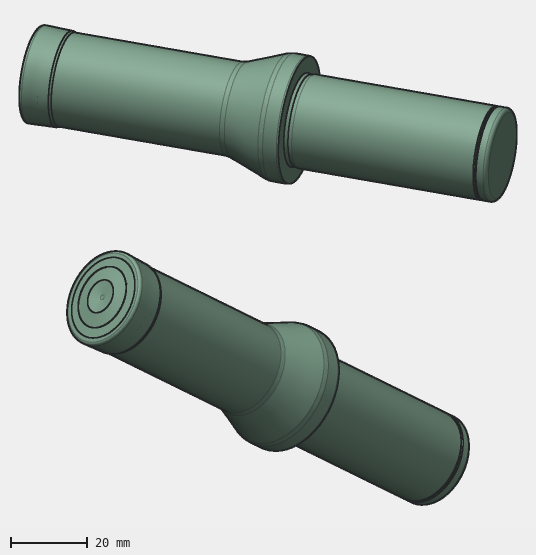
import cadquery as cq

overall_length = 130.0
body_diameter = 25.0
body_radius = body_diameter / 2

head_rim = 0.93
head_diameter = 26.2
head_back_diameter = 25.6
head_back = 9.8
head_back_chamfer_length = 0.7
head_face_rise = 0.19
head_corner_radius = 0.8

tip_radius = 8.45
tip_depth = 0.65
crest_radius = 4.55
dimple_floor_radius = 0.65
dimple_depth = tip_depth
seat_front = 1.1
seat_front_radius = 11.15
seat_taper_end = 6.0

collar_radius = 34.0 / 2
collar_back = 74.0
collar_width = 5.1
cone_length = 12.0
cone_blend_radius = 4.0
collar_chamfer_length = 0.6
collar_chamfer_depth = 0.1
collar_front = collar_back - collar_width
cone_start = collar_front - cone_length

vee_bottom_radius = 24.5 / 2
relief_half_width = 1.04
groove_start = 126.2
groove_half_width = 0.4
shank_end_radius = 1.1


def turn(outline):
    return outline.close().revolve(360, (0, 0, 0), (1, 0, 0))


def edge_at(x):
    """Selects the circular edge lying in the plane at station x."""
    margin = 0.01
    reach = 2 * collar_radius
    return cq.selectors.BoxSelector(
        (x - margin, -reach, -reach),
        (x + margin, reach, reach),
        boundingbox=True,
    )


def cut_vee(outline, start, half_width):
    """Continues a shank outline from station start through a V-shaped groove."""
    return outline.lineTo(start + half_width, vee_bottom_radius).lineTo(start + 2 * half_width, body_radius)


def make_head():
    outline = (
        cq.Workplane("XY")
        .moveTo(seat_front, tip_radius)
        .lineTo(head_rim - head_face_rise, tip_radius)
        .lineTo(head_rim, head_diameter / 2)
        .lineTo(head_back - head_back_chamfer_length, head_back_diameter / 2)
        .lineTo(head_back, body_radius)
        .lineTo(seat_taper_end, body_radius)
        .lineTo(seat_front, seat_front_radius)
    )
    return turn(outline).edges(edge_at(head_rim)).fillet(head_corner_radius)


def make_holder():
    outline = (
        cq.Workplane("XY")
        .moveTo(dimple_depth, 0)
        .lineTo(dimple_depth, dimple_floor_radius)
        .lineTo(0, crest_radius)
        .lineTo(tip_depth, tip_radius)
        .lineTo(seat_front, tip_radius)
        .lineTo(seat_front, seat_front_radius)
        .lineTo(seat_taper_end, body_radius)
    )
    outline = (
        outline.lineTo(cone_start, body_radius)
        .lineTo(collar_front, collar_radius)
        .lineTo(collar_back - collar_chamfer_length, collar_radius)
        .lineTo(collar_back, collar_radius - collar_chamfer_depth)
        .lineTo(collar_back, body_radius)
    )
    outline = cut_vee(outline, collar_back, relief_half_width)
    outline = outline.lineTo(groove_start, body_radius)
    outline = cut_vee(outline, groove_start, groove_half_width)
    outline = outline.lineTo(overall_length, body_radius).lineTo(overall_length, 0)

    holder = turn(outline)
    for corner in (cone_start, collar_front):
        holder = holder.edges(edge_at(corner)).fillet(cone_blend_radius)
    return holder.edges(edge_at(overall_length)).fillet(shank_end_radius)


head = make_head()
holder = make_holder()
result = cq.Compound.makeCompound([head.val(), holder.val()])